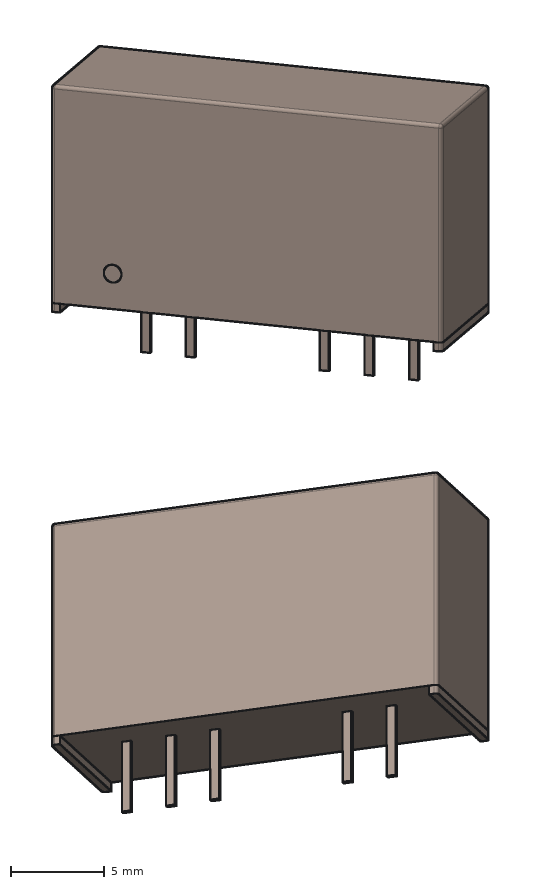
import cadquery as cq

HOUSING_LENGTH = 22.25
HOUSING_WIDTH = 7.75
HOUSING_HEIGHT = 12.25
EDGE_RADIUS = 0.2

FOOT_LENGTH = 0.5
FOOT_HEIGHT = 0.5

PIN_PITCH = 2.54
PIN_POSITIONS = (-3, -2, 1, 2, 3)
PIN_WIDTH = 0.5
PIN_THICKNESS = 0.25
PIN_BELOW_FEET = 3.5
PIN_TO_BACK_FACE = 2.25

MARK_DIAMETER = 1.0
MARK_DEPTH = 0.1
MARK_HEIGHT = 2.0

HOUSING_BOTTOM = FOOT_HEIGHT
FRONT_FACE_Y = -HOUSING_WIDTH / 2
PIN_ROW_Y = HOUSING_WIDTH / 2 - PIN_TO_BACK_FACE
PIN_LENGTH = PIN_BELOW_FEET + HOUSING_BOTTOM
PIN_1_X = PIN_POSITIONS[0] * PIN_PITCH


def rounded_block(bottom, height):
    """Block of the housing footprint with rounded upright edges."""
    return (
        cq.Workplane("XY", origin=(0, 0, bottom))
        .rect(HOUSING_LENGTH, HOUSING_WIDTH)
        .extrude(height)
        .edges("|Z")
        .fillet(EDGE_RADIUS)
    )


def make_mark():
    """Disc set into the front face above pin 1."""
    return (
        cq.Workplane("XZ", origin=(PIN_1_X, FRONT_FACE_Y, HOUSING_BOTTOM + MARK_HEIGHT))
        .circle(MARK_DIAMETER / 2)
        .extrude(-MARK_DEPTH)
    )


def make_housing():
    """Block with rounded upright and top edges and a recess for the mark."""
    block = rounded_block(HOUSING_BOTTOM, HOUSING_HEIGHT)
    return block.faces(">Z").edges().fillet(EDGE_RADIUS).cut(make_mark())


def make_foot(side):
    """End strip of the housing footprint; side is -1 for left, 1 for right."""
    foot_x = side * (HOUSING_LENGTH - FOOT_LENGTH) / 2
    strip = cq.Workplane("XY", origin=(foot_x, 0, 0)).box(
        FOOT_LENGTH, HOUSING_WIDTH, FOOT_HEIGHT, centered=(True, True, False)
    )
    return strip.intersect(rounded_block(0, FOOT_HEIGHT))


def make_pin(position):
    """Flat pin hanging from the underside of the housing."""
    return (
        cq.Workplane("XY", origin=(position * PIN_PITCH, PIN_ROW_Y, HOUSING_BOTTOM))
        .rect(PIN_WIDTH, PIN_THICKNESS)
        .extrude(-PIN_LENGTH)
    )


housing = make_housing()
mark = make_mark()
feet = [make_foot(side) for side in (-1, 1)]
pins = [make_pin(position) for position in PIN_POSITIONS]

result = cq.Compound.makeCompound(
    [
        housing.val(),
        mark.val(),
        *[foot.val() for foot in feet],
        *[pin.val() for pin in pins],
    ]
)